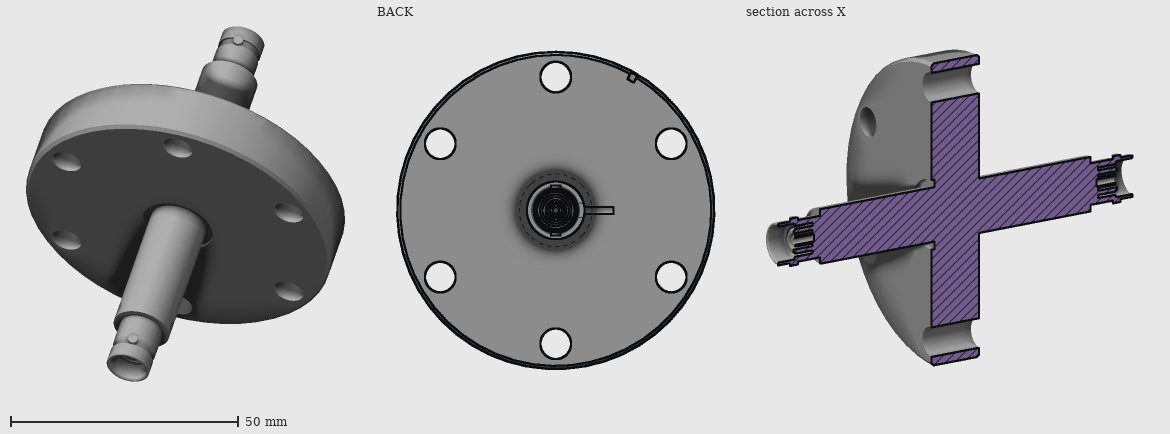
import cadquery as cq

flange_diameter = 69.85
flange_thickness = 12.7
flange_chamfer = 0.7
bolt_count = 6
bolt_circle_diameter = 58.7
bolt_hole_diameter = 6.7
weld_recess_diameter = 16.0
weld_recess_depth = 0.8

first_bolt_angle = 90
leak_groove_angle = first_bolt_angle + 180 / bolt_count
leak_groove_width = 1.6
leak_groove_depth = 0.4
leak_groove_length = 2.0

overall_length = 92.96
tube_diameter = 12.7
tube_length = 70.9

vent_diameter = 3.2
vent_offset_from_flange = 1.4
core_radius = 2.5

barrel_radius = 4.85
groove_floor_radius = 4.4
groove_outer_inset = 3.25
groove_taper_inset = 4.3
groove_inner_inset = 5.2
pin_inset = 4.23
pin_diameter = 2.1
pin_span = 11.0
rim_chamfer = 0.15

lead_in = 0.3
mouth_radius = 4.1
seat_radius = 3.5
mouth_depth = 4.2
seat_taper_depth = 4.5
bore_depth = 9.0
insulator_radius = 2.9
insulator_tip_radius = 2.3
insulator_tip_inset = 4.0
insulator_taper_length = 0.6
insulator_bore_radius = 1.8
contact_radius = 1.3
contact_tip_inset = 4.4
socket_radius = 0.75
socket_depth = 5.0

end_y = overall_length / 2
half_flange = flange_thickness / 2
vent_y = half_flange + vent_offset_from_flange


def cylinder_y(radius, y_start, y_end):
    """Solid cylinder on the Y axis between two Y positions."""
    start = cq.Vector(0, y_start, 0)
    direction = cq.Vector(0, 1, 0)
    return cq.Workplane(cq.Solid.makeCylinder(radius, y_end - y_start, start, direction))


def make_flange():
    disc = cylinder_y(flange_diameter / 2, -half_flange, half_flange)
    disc = disc.faces("<Y or >Y").edges().chamfer(flange_chamfer)
    bolt_holes = (
        cq.Workplane("XZ", origin=(0, half_flange, 0))
        .polarArray(bolt_circle_diameter / 2, first_bolt_angle, 360, bolt_count)
        .circle(bolt_hole_diameter / 2)
        .extrude(flange_thickness)
    )
    recess = cylinder_y(weld_recess_diameter / 2, -half_flange, -half_flange + weld_recess_depth)
    return disc.cut(bolt_holes).cut(recess)


def make_leak_groove():
    """Radial notch in the rim of the +Y face, turned to its angle in the XZ plane."""
    rim = flange_diameter / 2
    notch = cq.Workplane("XY").box(2 * leak_groove_length, 2 * leak_groove_depth, leak_groove_width)
    notch = notch.translate((rim, half_flange, 0))
    return notch.rotate((0, 0, 0), (0, 1, 0), -leak_groove_angle)


def make_barrel():
    """Jack barrel at the +Y end, with its tapered locking groove and bayonet pins."""
    barrel = (
        cq.Workplane("XY")
        .moveTo(0, 0)
        .lineTo(barrel_radius, 0)
        .lineTo(barrel_radius, end_y - groove_inner_inset)
        .lineTo(groove_floor_radius, end_y - groove_taper_inset)
        .lineTo(groove_floor_radius, end_y - groove_outer_inset)
        .lineTo(barrel_radius, end_y - groove_outer_inset)
        .lineTo(barrel_radius, end_y - rim_chamfer)
        .lineTo(barrel_radius - rim_chamfer, end_y)
        .lineTo(0, end_y)
        .close()
        .revolve(360, (0, 0), (0, 1))
    )
    pins = (
        cq.Workplane("XY", origin=(0, end_y - pin_inset, 0))
        .circle(pin_diameter / 2)
        .extrude(pin_span / 2, both=True)
    )
    return barrel.union(pins)


def make_jack_cavity():
    """Space inside the +Y jack: annulus round the insulator, gap round the contact, socket."""
    annulus = (
        cq.Workplane("XY")
        .moveTo(0, end_y)
        .lineTo(mouth_radius + lead_in, end_y)
        .lineTo(mouth_radius, end_y - lead_in)
        .lineTo(mouth_radius, end_y - mouth_depth)
        .lineTo(seat_radius, end_y - seat_taper_depth)
        .lineTo(seat_radius, end_y - bore_depth)
        .lineTo(insulator_radius, end_y - bore_depth)
        .lineTo(insulator_radius, end_y - insulator_tip_inset - insulator_taper_length)
        .lineTo(insulator_tip_radius, end_y - insulator_tip_inset)
        .lineTo(0, end_y - insulator_tip_inset)
        .close()
        .revolve(360, (0, 0), (0, 1))
    )
    contact_gap = cylinder_y(insulator_bore_radius, end_y - bore_depth, end_y)
    contact = cylinder_y(contact_radius, end_y - bore_depth, end_y - contact_tip_inset)
    socket = cylinder_y(socket_radius, end_y - contact_tip_inset - socket_depth, end_y)
    return annulus.union(contact_gap).cut(contact).union(socket)


def make_vent():
    """Radial hole from the -X side, stopping on the round surface of the core."""
    drill = (
        cq.Workplane("YZ", origin=(0, vent_y, 0))
        .circle(vent_diameter / 2)
        .extrude(-tube_diameter)
    )
    return drill.cut(cylinder_y(core_radius, 0, end_y))


def with_mirror(shape):
    """The shape for the +Y end and its mirror image for the -Y end."""
    return shape, shape.mirror("XZ")


body = make_flange().cut(make_leak_groove())
body = body.union(cylinder_y(tube_diameter / 2, -tube_length / 2, tube_length / 2))
for barrel in with_mirror(make_barrel()):
    body = body.union(barrel)
for cavity in with_mirror(make_jack_cavity()):
    body = body.cut(cavity)
result = body.cut(make_vent())